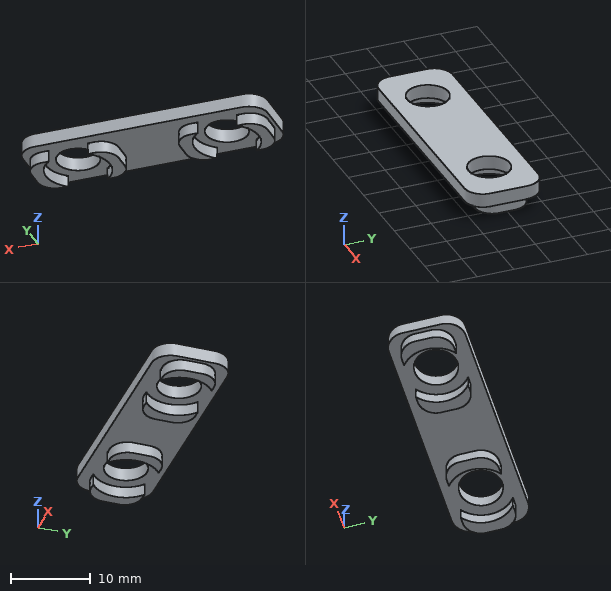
import cadquery as cq

plate_length = 32.9
plate_width = 10.03
plate_thickness = 1.87
plate_corner_radius = 2.5

hole_diameter = 5.55
hole_spacing = 20.0

total_height = 3.42
foot_height = total_height - plate_thickness
pad_length = 11.77
pad_width = 6.85
pad_corner_radius = 2.37
clearance_diameter = 8.62

hole_centers = [(-hole_spacing / 2, 0), (hole_spacing / 2, 0)]


def make_plate():
    """Flat bar with rounded corners, standing on top of the feet."""
    return (
        cq.Workplane("XY", origin=(0, 0, foot_height))
        .rect(plate_length, plate_width)
        .extrude(plate_thickness)
        .edges("|Z")
        .fillet(plate_corner_radius)
    )


def make_feet(center):
    """Pair of feet on either side of one hole."""
    pad = (
        cq.Workplane("XY")
        .rect(pad_length, pad_width)
        .extrude(foot_height)
        .edges("|Z")
        .fillet(pad_corner_radius)
    )
    clearance = cq.Workplane("XY").circle(clearance_diameter / 2).extrude(foot_height)
    return pad.cut(clearance).translate((center[0], center[1], 0))


result = make_plate()
for hole_center in hole_centers:
    result = result.union(make_feet(hole_center))

holes = cq.Workplane("XY").pushPoints(hole_centers).circle(hole_diameter / 2).extrude(total_height)
result = result.cut(holes)